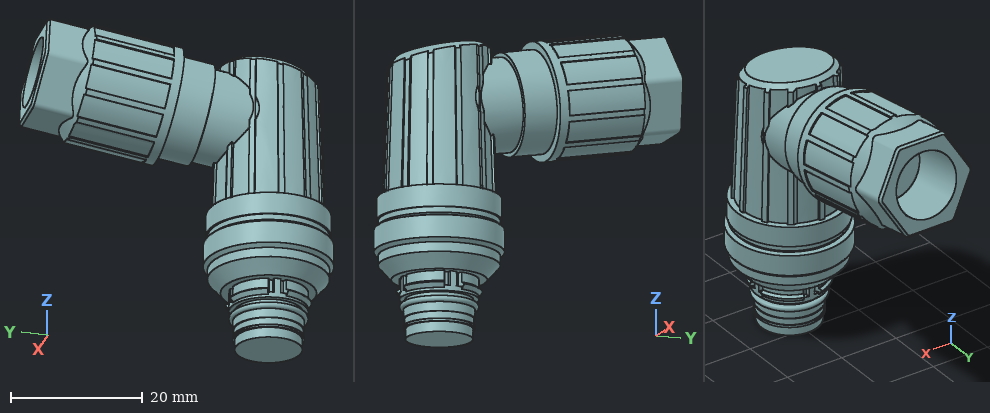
import cadquery as cq
import math

arm_tilt = 10
arm_height = 35.75

plug_tip_radius = 5.15
plug_bead_radius = 5.45
plug_neck_radius = 5.3
plug_groove_radius = 5.2
seal_ring_radius = 6.05
plug_radius = 6.05
latch_rib_radius = 6.6
bead_bottom = 1.6
bead_top = 2
neck_top = 3.15
seal_bottom = 4.6
seal_top = 5.5
latch_bottom = 6.2
latch_rib_bottom = 6.65
latch_rib_peak = 7.4
latch_rib_top = 7.75

sleeve_bottom = 9.3
sleeve_bottom_radius = 7.3
sleeve_cone_top = 11.5
sleeve_radius = 9.3
sleeve_step = 13
grip_ring_radius = 9.95
grip_ring_bottom = 13.6
grip_ring_top = 17.15

gap_radius = 8.85
gap_top = 17.35
collar_lip_radius = 9.3
collar_lip_bottom = 17.65
collar_bottom = 18.55
collar_radius = 9.55
collar_top = 22.0

notch_count = 4
finger_width = 1.05
finger_slot_bottom = 7.05
notch_floor = 5.25
notch_floor_width = 2.2
notch_mouth_width = 3.5

handle_foot_radius = 8.85
handle_taper = 2
handle_loft_height = 28.05
handle_ridges = (33.2, 59.8)
handle_flute_depth = 0.4
ridge_half_angle = 3
ramp_angle = 4
cap_height = 45.15
cap_radius = 6.8
cap_cone_depth = 6
cap_reach = 25.05
button_base_radius = 4.1
button_top_radius = 3.35
button_rise = 0.2

arm_radius = 7.3
boss_radius = 8
boss_start = 10.75
nut_start = 16.1
nut_radius = 9.25
nut_flute_start = 17.65
nut_ridges = (30.3, 60)
nut_flute_depth = 0.2
nut_cone_start = 29.95
nose_overlap = 0.5
hex_end = 37.3
hex_across_flats = 15.1
hex_corner_fillet = 1.1
hex_rim_chamfer = 0.4
bore_radius = 5.5
bore_depth = 10


def fluted_outline(plane, ridge_radius, flute_depth, ridge_angles):
    """Closed ring of ridges and sunken flutes, mirrored into all four quadrants.

    Angles run from the plane's -Y direction. The first ridge off that direction
    meets its inner flute with a ramp, every other flute wall is radial.
    """
    floor_radius = ridge_radius - flute_depth
    first, second = ridge_angles
    half = ridge_half_angle
    flutes = (
        (half, first - half - ramp_angle, first - half),
        (first + half, second - half, second - half),
        (second + half, 90 - half, 90 - half),
    )
    corners = []
    for flute_start, floor_end, ridge_edge in flutes:
        corners.append((flute_start, ridge_radius))
        corners.append((flute_start, floor_radius))
        corners.append((floor_end, floor_radius))
        corners.append((ridge_edge, ridge_radius))
    mirrored = [(180 - angle, radius) for angle, radius in reversed(corners)]
    half_turn = corners + mirrored
    other_half = [(angle + 180, radius) for angle, radius in half_turn]
    ring = half_turn + other_half
    ring.append((ring[0][0] + 360, ridge_radius))

    def point(angle, radius):
        turn = math.radians(angle)
        return (radius * math.sin(turn), -radius * math.cos(turn))

    outline = cq.Workplane(plane).moveTo(*point(*ring[0]))
    for (angle, radius), (next_angle, next_radius) in zip(ring, ring[1:]):
        if radius == next_radius:
            middle = point((angle + next_angle) / 2, radius)
            outline = outline.threePointArc(middle, point(next_angle, radius))
        else:
            outline = outline.lineTo(*point(next_angle, next_radius))
    return outline.close()


def turned(plane, profile):
    """Revolve a (radius, height) polygon about the plane's normal."""
    half_section = cq.Workplane(cq.Plane(plane.origin, plane.xDir, -plane.yDir))
    return half_section.polyline(profile).close().revolve(360, (0, 0), (0, 1))


def make_plug_and_collar():
    seal_middle = (seal_bottom + seal_top) / 2
    return (
        cq.Workplane("XZ")
        .lineTo(plug_tip_radius, 0)
        .lineTo(plug_tip_radius, bead_bottom)
        .lineTo(plug_bead_radius, bead_bottom)
        .lineTo(plug_bead_radius, bead_top)
        .lineTo(plug_neck_radius, bead_top)
        .lineTo(plug_neck_radius, neck_top)
        .lineTo(plug_bead_radius, neck_top)
        .lineTo(plug_bead_radius, seal_bottom)
        .threePointArc((seal_ring_radius, seal_middle), (plug_bead_radius, seal_top))
        .lineTo(plug_groove_radius, seal_top)
        .lineTo(plug_groove_radius, latch_bottom)
        .lineTo(plug_radius, latch_bottom)
        .lineTo(plug_radius, latch_rib_bottom)
        .lineTo(latch_rib_radius, latch_rib_peak)
        .lineTo(plug_radius, latch_rib_top)
        .lineTo(plug_radius, sleeve_bottom)
        .lineTo(sleeve_bottom_radius, sleeve_bottom)
        .lineTo(sleeve_radius, sleeve_cone_top)
        .lineTo(sleeve_radius, sleeve_step)
        .lineTo(grip_ring_radius, grip_ring_bottom)
        .lineTo(grip_ring_radius, grip_ring_top)
        .lineTo(gap_radius, grip_ring_top)
        .lineTo(gap_radius, gap_top)
        .lineTo(collar_lip_radius, collar_lip_bottom)
        .lineTo(collar_lip_radius, collar_bottom)
        .lineTo(collar_radius, collar_bottom)
        .lineTo(collar_radius, collar_top)
        .lineTo(0, collar_top)
        .close()
        .revolve(360, (0, 0), (0, 1))
    )


def cut_latch_notches(body):
    """Interrupt the latch rib with flared notches, each leaving a narrow finger."""
    flared_notch = (
        cq.Workplane("XY", origin=(0, 0, latch_rib_bottom))
        .moveTo(-notch_floor_width / 2, -notch_floor)
        .lineTo(notch_floor_width / 2, -notch_floor)
        .lineTo(notch_mouth_width / 2, -latch_rib_radius)
        .lineTo(-notch_mouth_width / 2, -latch_rib_radius)
        .close()
        .extrude(sleeve_bottom - latch_rib_bottom)
    )
    plug_below_slots = cq.Workplane("XY").circle(plug_radius).extrude(finger_slot_bottom)
    finger = (
        cq.Workplane("XY")
        .circle(plug_radius)
        .extrude(sleeve_bottom)
        .intersect(cq.Workplane("XY").box(finger_width, 2 * plug_radius, 2 * sleeve_bottom))
    )
    notch = flared_notch.cut(plug_below_slots).cut(finger)
    for index in range(notch_count):
        body = body.cut(notch.rotate((0, 0, 0), (0, 0, 1), index * 360 / notch_count))
    return body


def make_handle():
    loft_top_radius = handle_foot_radius - handle_loft_height * math.tan(math.radians(handle_taper))
    foot_plane = cq.Plane((0, 0, collar_top), (1, 0, 0), (0, 0, 1))
    top_plane = cq.Plane((0, 0, collar_top + handle_loft_height), (1, 0, 0), (0, 0, 1))
    foot = fluted_outline(foot_plane, handle_foot_radius, handle_flute_depth, handle_ridges).val()
    top = fluted_outline(top_plane, loft_top_radius, handle_flute_depth, handle_ridges).val()
    handle = cq.Workplane(cq.Solid.makeLoft([foot, top], True))

    tilt = math.radians(arm_tilt)
    cap_plane = cq.Plane((0, 0, cap_height), (1, 0, 0), (0, -math.sin(tilt), math.cos(tilt)))
    cap_outer_radius = cap_radius + cap_cone_depth
    cap = turned(cap_plane, [
        (0, 0),
        (cap_radius, 0),
        (cap_outer_radius, -cap_cone_depth),
        (cap_outer_radius, -cap_reach),
        (0, -cap_reach),
    ])
    button = turned(cap_plane, [
        (0, -button_rise),
        (button_base_radius, -button_rise),
        (button_base_radius, 0),
        (button_top_radius, button_rise),
        (0, button_rise),
    ])
    return handle.intersect(cap).union(button)


def make_arm():
    """Build the arm along its tilted axis: stem, boss, fluted nut and hexagon."""
    tilt = math.radians(arm_tilt)
    axis = cq.Vector(0, math.cos(tilt), math.sin(tilt))
    start = cq.Vector(0, 0, arm_height)

    def plane_at(distance):
        return cq.Plane(start + axis * distance, (-1, 0, 0), axis)

    def prism(distance, end, outline):
        return outline(cq.Workplane(plane_at(distance))).extrude(end - distance)

    stem = prism(0, boss_start, lambda plane: plane.circle(arm_radius))
    boss = prism(boss_start, nut_start, lambda plane: plane.circle(boss_radius))
    nut_rim = prism(nut_start, nut_flute_start, lambda plane: plane.circle(nut_radius))

    nose_radius = hex_across_flats / 2 - nose_overlap
    nose_end = nut_cone_start + nut_radius - nose_radius
    nut = fluted_outline(plane_at(nut_flute_start), nut_radius, nut_flute_depth, nut_ridges)
    nut = nut.extrude(nose_end - nut_flute_start)
    nut_envelope = turned(plane_at(0), [
        (0, nut_flute_start),
        (nut_radius, nut_flute_start),
        (nut_radius, nut_cone_start),
        (nose_radius, nose_end),
        (0, nose_end),
    ])
    nut = nut.intersect(nut_envelope)

    hex_corner_diameter = hex_across_flats / math.cos(math.radians(30))
    hexagon = prism(nut_flute_start, hex_end, lambda plane: plane.polygon(6, hex_corner_diameter))
    hexagon = hexagon.edges(cq.selectors.ParallelDirSelector(axis)).fillet(hex_corner_fillet)
    hexagon = hexagon.faces(cq.selectors.DirectionMinMaxSelector(axis)).chamfer(hex_rim_chamfer)

    bore = prism(hex_end - bore_depth, hex_end, lambda plane: plane.circle(bore_radius))
    return stem.union(boss).union(nut_rim).union(nut).union(hexagon).cut(bore)


body = cut_latch_notches(make_plug_and_collar())
result = body.union(make_handle()).union(make_arm())